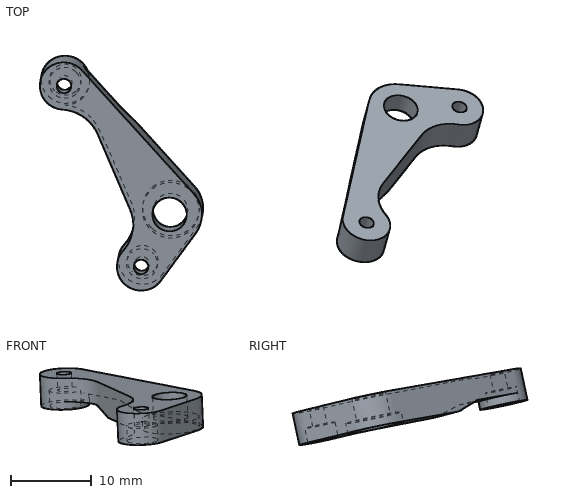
import cadquery as cq
import math

thickness = 4.0
web_thickness = 3.0
tip_radius = 3.0
pivot_radius = 4.0
pin_hole_diameter = 1.8
pivot_bore_diameter = 4.25

pivot_land = 2.7
pivot_recess_diameter = 7.0
pin_land = 2.1
long_tip_recess_diameter = 3.9
short_tip_recess_diameter = 3.8

pivot = (0.0, 0.0)
long_tip = (-12.9, 16.22)
short_tip = (-3.58, -6.63)

inner_edge_angle = -67.6
inner_edge_offset = 4.27
long_blend_radius = 5.0
short_blend_radius = 5.0

ramp_start = 6.7
ramp_end = 10.12
boss_margin = 0.005

tilt_about_x = 12
tilt_about_y = -2.4


def polar(center, radius, angle):
    """Point at a radius and an angle (radians) from a center."""
    return (center[0] + radius * math.cos(angle), center[1] + radius * math.sin(angle))


def bearing(start, end):
    """Angle of the direction from start to end."""
    return math.atan2(end[1] - start[1], end[0] - start[0])


def outer_normal(first, first_radius, second, second_radius):
    """Angle of the left-hand normal of the line tangent to two circles."""
    lean = math.acos((first_radius - second_radius) / math.dist(first, second))
    return bearing(first, second) + lean


edge_direction = math.radians(inner_edge_angle)
edge_normal = edge_direction - math.pi / 2
edge_foot = polar(pivot, inner_edge_offset, edge_normal)


def blend_center(tip, radius, side):
    """Center of an arc touching a tip and the inner edge; side is its direction along the edge."""
    base = polar(edge_foot, radius, edge_normal)
    along = (tip[0] - base[0]) * math.cos(edge_direction) + (tip[1] - base[1]) * math.sin(edge_direction)
    nearest = polar(base, along, edge_direction)
    reach = math.sqrt((tip_radius + radius) ** 2 - math.dist(tip, nearest) ** 2)
    return polar(nearest, side * reach, edge_direction)


long_blend = blend_center(long_tip, long_blend_radius, 1)
short_blend = blend_center(short_tip, short_blend_radius, -1)
long_side_normal = outer_normal(long_tip, tip_radius, pivot, pivot_radius)
short_side_normal = outer_normal(pivot, pivot_radius, short_tip, tip_radius)


def add_arc(sketch, center, radius, start, end, clockwise=True):
    """Append an arc from the current point, at angle start, to angle end."""
    turn = 2 * math.pi
    sweep = -((start - end) % turn) if clockwise else (end - start) % turn
    return sketch.threePointArc(polar(center, radius, start + sweep / 2), polar(center, radius, end))


def plate():
    """Full-thickness plate with a clockwise outline."""
    edge_side = edge_normal + math.pi
    short_contact = bearing(short_tip, short_blend)
    long_contact = bearing(long_tip, long_blend)
    outline = cq.Workplane("XY").moveTo(*polar(long_tip, tip_radius, long_side_normal))
    outline = outline.lineTo(*polar(pivot, pivot_radius, long_side_normal))
    outline = add_arc(outline, pivot, pivot_radius, long_side_normal, short_side_normal)
    outline = outline.lineTo(*polar(short_tip, tip_radius, short_side_normal))
    outline = add_arc(outline, short_tip, tip_radius, short_side_normal, short_contact)
    outline = add_arc(outline, short_blend, short_blend_radius, short_contact + math.pi, edge_side, False)
    outline = outline.lineTo(*polar(long_blend, long_blend_radius, edge_side))
    outline = add_arc(outline, long_blend, long_blend_radius, edge_side, long_contact + math.pi, False)
    outline = add_arc(outline, long_tip, tip_radius, long_contact, long_side_normal)
    return outline.close().extrude(-thickness)


def underside_relief():
    """Thinned web with a ramp back to full thickness, leaving a round boss at the long tip."""
    outer_edge = long_side_normal - math.pi / 2
    side_plane = cq.Plane(
        origin=(*long_tip, 0),
        xDir=(math.cos(outer_edge), math.sin(outer_edge), 0),
        normal=(math.sin(outer_edge), -math.cos(outer_edge), 0),
    )
    profile = [(ramp_start, -web_thickness), (ramp_end, -thickness)]
    profile += [(ramp_end, -2 * thickness), (-2 * tip_radius, -2 * thickness), (-2 * tip_radius, -web_thickness)]
    half_width = 2 * pivot_radius
    relief = cq.Workplane(side_plane).polyline(profile).close().extrude(half_width, both=True)
    boss = cq.Workplane("XY").center(*long_tip).circle(tip_radius + boss_margin).extrude(-3 * thickness)
    return relief.cut(boss)


def stepped_bore(center, diameter, land, recess_diameter):
    """Through-hole cutter, diameter wide down to the land depth and wider from there to the underside."""
    hole = cq.Workplane("XY").center(*center).circle(diameter / 2).extrude(-thickness)
    recess = cq.Workplane("XY").workplane(offset=-land).center(*center)
    return hole.union(recess.circle(recess_diameter / 2).extrude(land - thickness))


lever = plate().cut(underside_relief())
lever = lever.cut(stepped_bore(pivot, pivot_bore_diameter, pivot_land, pivot_recess_diameter))
lever = lever.cut(stepped_bore(long_tip, pin_hole_diameter, pin_land, long_tip_recess_diameter))
lever = lever.cut(stepped_bore(short_tip, pin_hole_diameter, pin_land, short_tip_recess_diameter))

lever = lever.rotate((0, 0, 0), (1, 0, 0), tilt_about_x)
result = lever.rotate((0, 0, 0), (0, 1, 0), tilt_about_y)